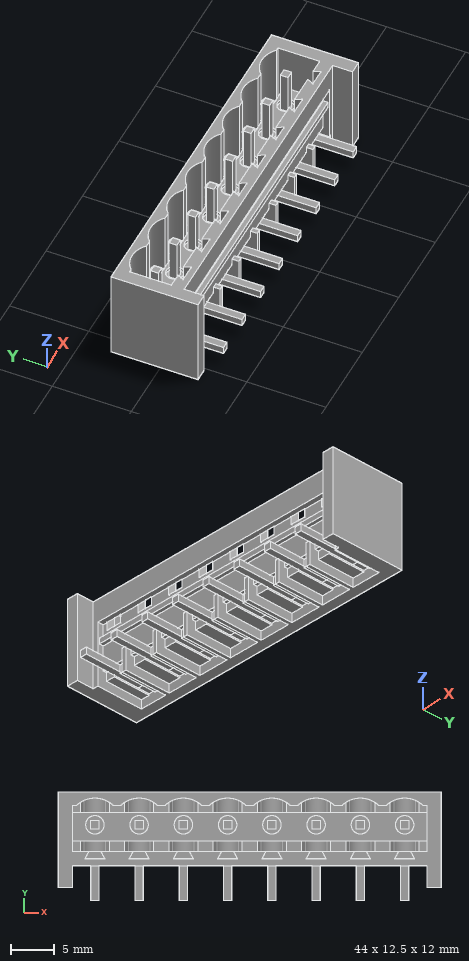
import cadquery as cq
import math


LENGTH = 44.05
DEPTH = 11.0
HEIGHT = 12.0
END_WALL = 1.67
FRONT_FACE = 8.5

PIN_COUNT = 8
PITCH = 5.082
PIN_WIDTH = 0.95
PIN_DISTANCE = 3.8
PIN_TOP = 11.0
PIN_BASE = 1.5
PIN_REACH = 12.5

CAVITY_BACK = 1.6
CAVITY_FRONT = 6.85
CAVITY_FLOOR = 4.0
SCALLOP_RADIUS = 3.06

RIDGE_HALF_WIDTH = 1.67
RIDGE_RADIUS = 1.45
RIDGE_FLANK_ANGLE = 57.5

BAR_BACK = 2.4
BAR_FRONT = 5.65
BAR_TOP = 6.0
SOCKET_RADIUS = 1.05
SOCKET_DEPTH = 0.45

SLOT_NECK_WIDTH = 1.4
SLOT_WIDE_WIDTH = 2.3
SLOT_DEPTH = 0.85
SLOT_BOTTOM = 7.75

RECESS_END = 2.45
RECESS_DEPTH = 0.85
RECESS_TOP = 8.8
LEDGE_TOP = 6.7
LEDGE_BOTTOM = 5.9
LEDGE_PROJECTION = 0.6

WALL_BOTTOM = PIN_BASE + PIN_WIDTH
BLOCK_FRONT = 7.15
BLOCK_BOTTOM = 1.28
POCKET_BACK = 1.6
POCKET_RIGHT_END = 2.2
RIB_WIDTH = 0.6
RIB_TOP = 3.3

HALF_LENGTH = LENGTH / 2
RECESS_HALF = HALF_LENGTH - RECESS_END
PIN_POSITIONS = [(i - (PIN_COUNT - 1) / 2) * PITCH for i in range(PIN_COUNT)]
RIB_POSITIONS = [x + PITCH / 2 for x in PIN_POSITIONS[:-1]]


def block(x_min, x_max, back, front, z_min, z_max):
    """Box between two X values, two distances from the back face and two heights."""
    size = (x_max - x_min, front - back, z_max - z_min)
    return cq.Workplane("XY").box(*size, centered=False).translate((x_min, -front, z_min))


def centred_block(x, width, back, front, z_min, z_max):
    return block(x - width / 2, x + width / 2, back, front, z_min, z_max)


def make_shell():
    """Outer block, with the end walls standing forward of the front wall."""
    shell = centred_block(0, LENGTH, 0, DEPTH, 0, HEIGHT)
    return shell.cut(centred_block(0, LENGTH - 2 * END_WALL, FRONT_FACE, DEPTH, 0, HEIGHT))


def make_cavity():
    """Plug space with a scalloped back wall, less the ridges and the contact bar."""
    length = LENGTH - 2 * END_WALL
    cavity = centred_block(0, length, CAVITY_BACK, CAVITY_FRONT, CAVITY_FLOOR, HEIGHT)
    for x in PIN_POSITIONS:
        scallop = (
            cq.Workplane("XY", origin=(x, -PIN_DISTANCE, CAVITY_FLOOR))
            .circle(SCALLOP_RADIUS)
            .extrude(HEIGHT - CAVITY_FLOOR)
        )
        behind = centred_block(0, length, 0, PIN_DISTANCE, CAVITY_FLOOR, HEIGHT)
        cavity = cavity.union(scallop.intersect(behind))
    for x in PIN_POSITIONS:
        cavity = cavity.cut(make_ridge(x))
    cavity = cavity.cut(centred_block(0, length, BAR_BACK, BAR_FRONT, CAVITY_FLOOR, BAR_TOP))
    for x in PIN_POSITIONS:
        socket = (
            cq.Workplane("XY", origin=(x, -PIN_DISTANCE, BAR_TOP))
            .circle(SOCKET_RADIUS)
            .extrude(-SOCKET_DEPTH)
        )
        cavity = cavity.union(socket)
    return cavity


def make_ridge(x):
    """Ridge along Y: a rounded crown between two straight tangent flanks."""
    angle = math.radians(RIDGE_FLANK_ANGLE)
    shoulder_x = RIDGE_RADIUS * math.sin(angle)
    shoulder_z = (RIDGE_HALF_WIDTH - shoulder_x) * math.tan(angle)
    crown_z = shoulder_z + RIDGE_RADIUS * (1 - math.cos(angle))
    return (
        cq.Workplane("XZ", origin=(x, 0, CAVITY_FLOOR))
        .moveTo(-RIDGE_HALF_WIDTH, 0)
        .lineTo(-shoulder_x, shoulder_z)
        .threePointArc((0, crown_z), (shoulder_x, shoulder_z))
        .lineTo(RIDGE_HALF_WIDTH, 0)
        .close()
        .extrude(CAVITY_FRONT)
    )


def make_coding_slot(x):
    """Dovetail slot that widens from the cavity into the front wall."""
    neck = SLOT_NECK_WIDTH / 2
    wide = SLOT_WIDE_WIDTH / 2
    return (
        cq.Workplane("XY", origin=(x, -CAVITY_FRONT, SLOT_BOTTOM))
        .polyline([(-neck, 0), (neck, 0), (wide, -SLOT_DEPTH), (-wide, -SLOT_DEPTH)])
        .close()
        .extrude(HEIGHT - SLOT_BOTTOM)
    )


def make_front_recess():
    """Shallow recess in the front wall, less the latching ledge."""
    floor = FRONT_FACE - RECESS_DEPTH
    recess = centred_block(0, 2 * RECESS_HALF, floor, FRONT_FACE, 0, RECESS_TOP)
    ledge = centred_block(0, 2 * RECESS_HALF, floor, floor + LEDGE_PROJECTION, LEDGE_BOTTOM, LEDGE_TOP)
    return recess.cut(ledge)


def make_underside_clearance():
    """Space under the front wall, and the pocket under the contact block."""
    step = centred_block(0, 2 * RECESS_HALF, BLOCK_FRONT, FRONT_FACE, 0, WALL_BOTTOM)
    pocket_right = HALF_LENGTH - POCKET_RIGHT_END
    pocket = block(-RECESS_HALF, pocket_right, POCKET_BACK, FRONT_FACE, 0, BLOCK_BOTTOM)
    return step.union(pocket)


def make_rib(x):
    return centred_block(x, RIB_WIDTH, POCKET_BACK, FRONT_FACE, 0, RIB_TOP)


def make_pin(x):
    """L-shaped square contact: an upright leg and a leg that points forward."""
    pin_back = PIN_DISTANCE - PIN_WIDTH / 2
    upright = centred_block(x, PIN_WIDTH, pin_back, pin_back + PIN_WIDTH, PIN_BASE, PIN_TOP)
    forward = centred_block(x, PIN_WIDTH, pin_back, PIN_REACH, PIN_BASE, PIN_BASE + PIN_WIDTH)
    return upright.union(forward)


def make_pin_slot(x):
    """Gap below a contact, through which it opens into the underside pocket."""
    return centred_block(x, PIN_WIDTH, POCKET_BACK, BLOCK_FRONT, BLOCK_BOTTOM, PIN_BASE)


def make_housing(pins):
    housing = make_shell().cut(make_cavity()).cut(make_front_recess()).cut(make_underside_clearance())
    for x in RIB_POSITIONS:
        housing = housing.union(make_rib(x))
    for x in PIN_POSITIONS:
        housing = housing.cut(make_coding_slot(x)).cut(make_pin_slot(x))
    for pin in pins:
        housing = housing.cut(pin)
    return housing


pins = [make_pin(x) for x in PIN_POSITIONS]
housing = make_housing(pins)

result = cq.Compound.makeCompound([housing.val(), *[pin.val() for pin in pins]])